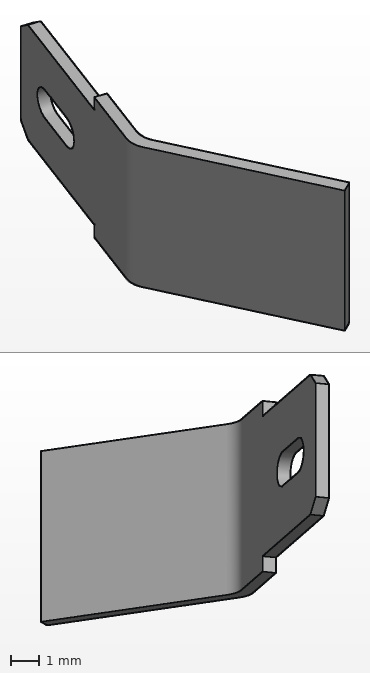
import cadquery as cq
import math

overall_length = 14.36
overall_depth = 6.72
plate_height = 6.3
thickness = 0.5

bend_angle = 45.0
bend_radius = 1.0

blade_length = 5.99
blade_height = 5.17
corner_length = 0.6
corner_height = 0.49

slot_length = 2.99
slot_height = 1.26
slot_from_tip = 2.86

cos_bend = math.cos(math.radians(bend_angle))
sin_bend = math.sin(math.radians(bend_angle))
arm_length = (overall_depth - thickness * cos_bend) / sin_bend
plate_length = overall_length - arm_length * cos_bend
inner_corner_x = thickness * math.tan(math.radians(bend_angle / 2))
tip_x = -arm_length * cos_bend
tip_y = arm_length * sin_bend


def bend_edge(x, y):
    """Selector for the vertical edge that passes through (x, y)."""
    return cq.selectors.NearestToPointSelector((x, y, 0))


strip = (
    cq.Workplane("XY")
    .polyline([
        (plate_length, 0),
        (0, 0),
        (tip_x, tip_y),
        (tip_x + thickness * sin_bend, tip_y + thickness * cos_bend),
        (inner_corner_x, thickness),
        (plate_length, thickness),
    ])
    .close()
    .extrude(plate_height / 2, both=True)
)
strip = strip.edges("|Z").edges(bend_edge(0, 0)).fillet(bend_radius)
strip = strip.edges("|Z").edges(bend_edge(inner_corner_x, thickness)).fillet(bend_radius)

arm_plane = cq.Plane(
    origin=(tip_x, tip_y, 0),
    xDir=(cos_bend, -sin_bend, 0),
    normal=(-sin_bend, -cos_bend, 0),
)


def edge_trim(side):
    """Material beside the blade, with its cut corner; side is 1 for the upper edge, -1 for the lower."""
    half_plate = side * plate_height / 2
    half_blade = side * blade_height / 2
    return (
        cq.Workplane(arm_plane)
        .polyline([
            (0, half_plate),
            (blade_length, half_plate),
            (blade_length, half_blade),
            (corner_length, half_blade),
            (0, half_blade - side * corner_height),
        ])
        .close()
        .extrude(-thickness)
    )


slot = (
    cq.Workplane(arm_plane)
    .center(slot_from_tip, 0)
    .slot2D(slot_length, slot_height)
    .extrude(-thickness)
)

result = strip.cut(slot)
for side in (1, -1):
    result = result.cut(edge_trim(side))